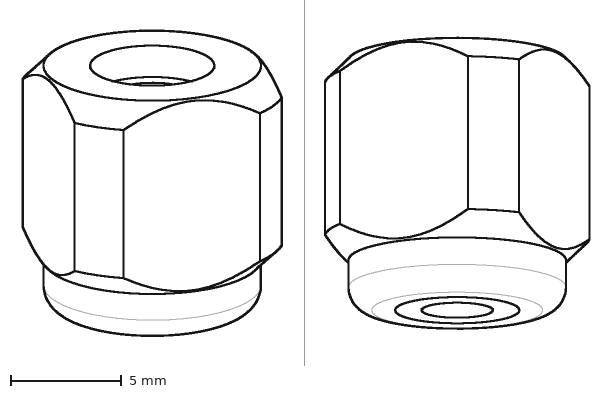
import cadquery as cq

corner_diameter = 11.97
total_height = 11.5
across_flats = 10.0

collar_radius = 4.91
collar_height = 2.3
collar_fillet = 1.05
head_height = total_height - collar_height
corner_radius = corner_diameter / 2
corner_chamfer = corner_radius - collar_radius

bore_radius = 2.8
bushing_recess = 1.5
bushing_height = total_height - bushing_recess
hole_radius = 1.6
hole_chamfer = 0.4


def make_head():
    """Square with its corners on X and Y, trimmed by a cylinder chamfered at both ends."""
    square = (
        cq.Workplane("XY", origin=(0, 0, collar_height))
        .transformed(rotate=(0, 0, 45))
        .rect(across_flats, across_flats)
        .extrude(head_height)
    )
    chamfered_round = (
        cq.Workplane("XY", origin=(0, 0, collar_height))
        .circle(corner_radius)
        .extrude(head_height)
        .edges("%CIRCLE")
        .chamfer(corner_chamfer)
    )
    return square.intersect(chamfered_round)


def make_collar():
    """Round collar with a rounded bottom edge."""
    return (
        cq.Workplane("XY")
        .circle(collar_radius)
        .extrude(collar_height)
        .faces("<Z")
        .edges()
        .fillet(collar_fillet)
    )


def make_nut():
    """Head and collar in one piece, with a straight bore right through."""
    bore = cq.Workplane("XY").circle(bore_radius).extrude(total_height)
    return make_head().union(make_collar()).cut(bore)


def make_bushing():
    """Ring filling the bore below the recess, with a chamfered hole mouth."""
    ring = cq.Workplane("XY").circle(bore_radius).extrude(bushing_height)
    return (
        ring.faces(">Z")
        .workplane()
        .circle(hole_radius)
        .cutThruAll()
        .faces(">Z")
        .edges(cq.selectors.RadiusNthSelector(0))
        .chamfer(hole_chamfer)
    )


nut = make_nut()
bushing = make_bushing()

result = cq.Compound.makeCompound([nut.val(), bushing.val()])